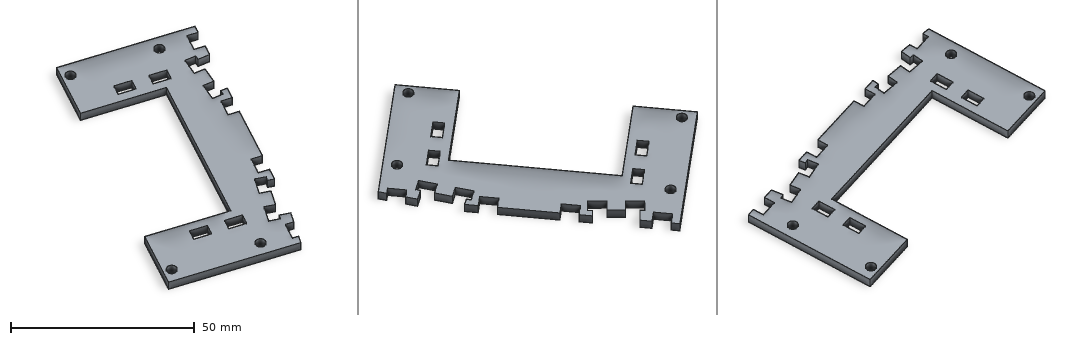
import cadquery as cq

plate_width = 82.9
plate_depth = 40.5
thickness = 3.0

cutter_height = thickness * 3

cutout_width = 47.6
cutout_depth = 25.2

hole_diameter = 3.0
hole_offset_x = plate_width / 2 - 3.95
hole_low_y = 2.5
hole_pitch_y = 26.0

notch_length = 5.25
notch_depth = 3.3
notch_pitch = 10.3
straight_notch_offsets = (11.2, 36.45)

slot_width = 3.2
slot_length = notch_length
slot_offset_x = 28.0
slot_low_y = 14.7
slot_pitch_y = 10.25

tilt_angle = 7.2
recess_width = 12.85
recess_offset_x = 23.7
recess_floor_y = plate_depth - 2.8
recess_height = 10.0

corner_drop = 1.75
trim_reach = 14.0
trim_height = 5.0


def cutter(length, depth, x, y):
    """Box centred on (x, y) that passes through the plate thickness."""
    return cq.Workplane("XY").box(length, depth, cutter_height).translate((x, y, 0))


def tilted(body, pivot_x, pivot_y, angle):
    """Turn a body about the vertical axis through the pivot point."""
    return body.rotate((pivot_x, pivot_y, 0), (pivot_x, pivot_y, 1), angle)


def make_plate():
    """U-shaped blank."""
    blank = cq.Workplane("XY").box(plate_width, plate_depth, thickness, centered=(True, False, False))
    return blank.cut(cutter(cutout_width, cutout_depth * 2, 0, 0))


def cut_holes(body):
    """Two round holes through each leg."""
    points = []
    for side in (-1, 1):
        for row in range(2):
            points.append((side * hole_offset_x, hole_low_y + row * hole_pitch_y))
    drills = cq.Workplane("XY").pushPoints(points).circle(hole_diameter / 2).extrude(thickness)
    return body.cut(drills)


def cut_slots(body):
    """Two rectangular slots through each leg."""
    for side in (-1, 1):
        for row in range(2):
            y = slot_low_y + row * slot_pitch_y
            body = body.cut(cutter(slot_width, slot_length, side * slot_offset_x, y))
    return body


def cut_straight_notches(body):
    """Square notches open to the top edge."""
    for side in (-1, 1):
        for offset in straight_notch_offsets:
            body = body.cut(cutter(notch_length, notch_depth * 2, side * offset, plate_depth))
    return body


def cut_tilted_recesses(body):
    """Tilted recess with two notches in its floor, mirrored to both sides."""
    for side in (-1, 1):
        x = side * recess_offset_x
        recess = cutter(recess_width, recess_height, x, recess_floor_y + recess_height / 2)
        for end in (-1, 1):
            notch_x = x + end * notch_pitch / 2
            recess = recess.union(cutter(notch_length, notch_depth, notch_x, recess_floor_y - notch_depth / 2))
        body = body.cut(tilted(recess, x, recess_floor_y, -side * tilt_angle))
    return body


def trim_corner(body):
    """Sloped trim from the right edge back to the right-hand recess."""
    corner_x = plate_width / 2
    corner_y = plate_depth - corner_drop
    trim = cutter(trim_reach * 2, trim_height, corner_x, corner_y + trim_height / 2)
    return body.cut(tilted(trim, corner_x, corner_y, -tilt_angle))


plate = make_plate()
plate = cut_holes(plate)
plate = cut_slots(plate)
plate = cut_straight_notches(plate)
plate = cut_tilted_recesses(plate)
result = trim_corner(plate)